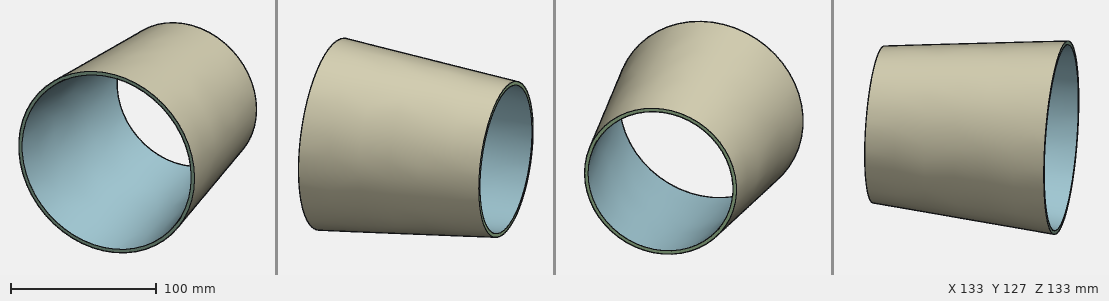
import cadquery as cq

large_diameter = 133.0
small_diameter = 108.0
large_bore_diameter = 127.8
length = 127.0

large_radius = large_diameter / 2
small_radius = small_diameter / 2
wall = (large_diameter - large_bore_diameter) / 2


def solid_cone(large_end_radius, small_end_radius):
    """Make a truncated cone along +Y, with its large end at Y = 0."""
    half_profile = (
        cq.Workplane("XY")
        .lineTo(large_end_radius, 0)
        .lineTo(small_end_radius, length)
        .lineTo(0, length)
        .close()
    )
    return half_profile.revolve(360, (0, 0, 0), (0, 1, 0))


outer_body = solid_cone(large_radius, small_radius)

bore = solid_cone(large_radius - wall, small_radius - wall)

result = outer_body.cut(bore)